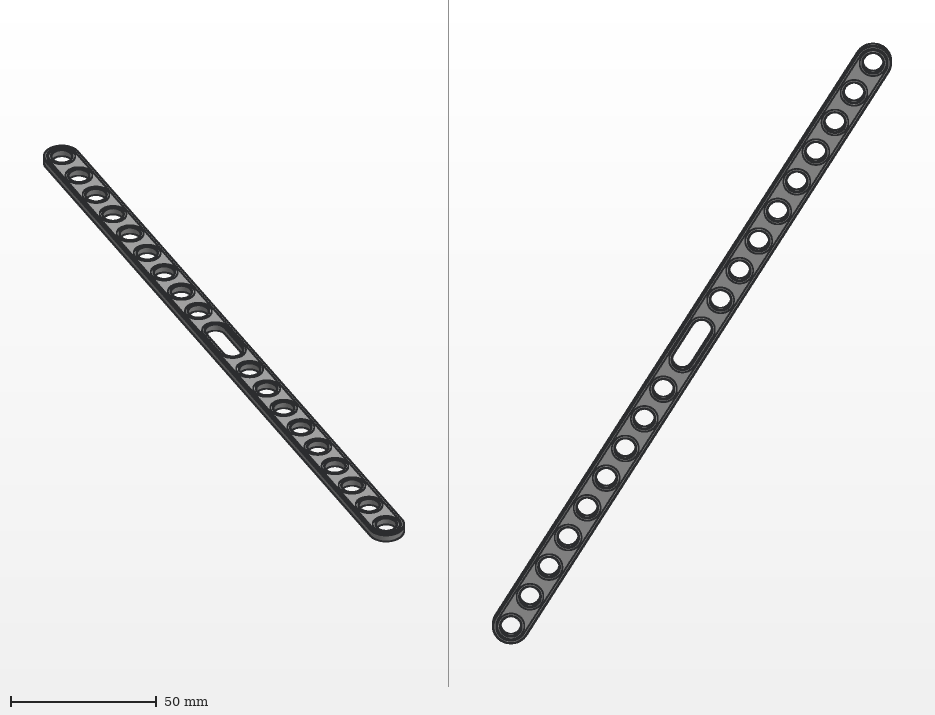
import cadquery as cq

length = 250.0
width = 12.5
thickness = width / 4

pitch = width
position_count = 20
hole_diameter = 7.0

rim_diameter = 9.2
rim_width = (rim_diameter - hole_diameter) / 2
recess_depth = 0.2
edge_bevel = 0.3

first_x = -pitch * (position_count - 1) / 2
grid = [first_x + index * pitch for index in range(position_count)]
hole_points = [(x, 0) for x in grid if abs(x) > pitch]


def openings(diameter):
    """Solid columns of the given diameter at every hole, and a matching one at the middle slot."""
    plane = cq.Workplane("XY")
    holes = plane.pushPoints(hole_points).circle(diameter / 2).extrude(thickness, both=True)
    slot = plane.slot2D(pitch + diameter, diameter).extrude(thickness, both=True)
    return holes.union(slot)


def pierced_strip():
    """Strip centred on the origin, with its openings and all its top and bottom edges bevelled."""
    blank = cq.Workplane("XY").slot2D(length, width).extrude(thickness / 2, both=True)
    return blank.cut(openings(hole_diameter)).faces("|Z").edges().chamfer(edge_bevel)


def top_recess():
    """Shallow pocket in the top face, leaving the outer border and the opening rims standing."""
    floor = cq.Workplane("XY").workplane(offset=thickness / 2 - recess_depth)
    pocket = floor.slot2D(length - 2 * rim_width, width - 2 * rim_width).extrude(recess_depth)
    return pocket.cut(openings(rim_diameter))


recess = top_recess()
result = pierced_strip().cut(recess).cut(recess.mirror("XY"))